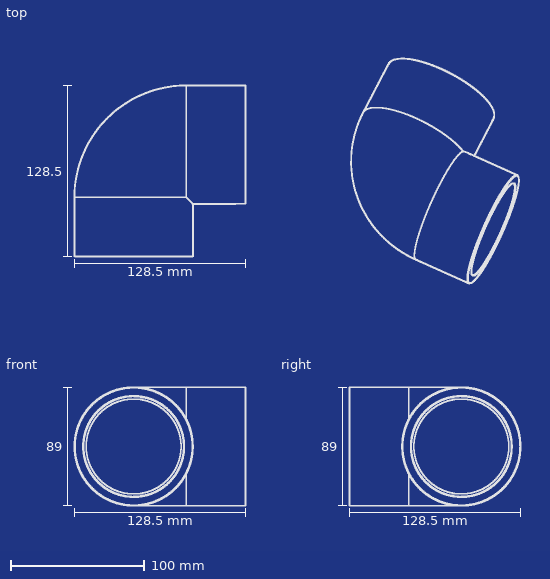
import cadquery as cq
import math

overall_length = 128.5
outer_diameter = 89.0
socket_bore = 75.0
bend_bore = 71.2
bend_radius = 39.6
rim_chamfer = 0.5

outer_radius = outer_diameter / 2
mouth_distance = overall_length - outer_radius
socket_length = mouth_distance - bend_radius
pivot_half_height = math.sqrt(outer_radius**2 - bend_radius**2)


def make_socket():
    """Straight socket along +X with chamfered inner and outer mouth edges."""
    return (
        cq.Workplane("YZ", origin=(bend_radius, 0, 0))
        .circle(outer_radius)
        .circle(socket_bore / 2)
        .extrude(socket_length)
        .faces(">X")
        .chamfer(rim_chamfer)
    )


def make_socket_pair():
    """Two sockets at right angles, joined where their walls cross at the inner corner."""
    side_socket = make_socket()
    front_socket = make_socket().rotate((0, 0, 0), (0, 0, 1), -90)
    return side_socket.union(front_socket)


def sweep_quarter_turn(section):
    """Turn a section lying in the local XY plane by 90 degrees about the pivot (local Y axis)."""
    return section.revolve(90, (0, 0, 0), (0, -1, 0))


def make_bend():
    """Quarter bend between the sockets, hollowed by a round passage."""
    pivot = cq.Plane(origin=(bend_radius, -bend_radius, 0), xDir=(-1, 0, 0), normal=(0, 1, 0))
    outer_section = (
        cq.Workplane(pivot)
        .moveTo(0, -pivot_half_height)
        .threePointArc((bend_radius + outer_radius, 0), (0, pivot_half_height))
        .close()
    )
    passage_section = cq.Workplane(pivot).moveTo(bend_radius, 0).circle(bend_bore / 2)
    return sweep_quarter_turn(outer_section).cut(sweep_quarter_turn(passage_section))


socket_pair = make_socket_pair()
bend = make_bend()

result = cq.Compound.makeCompound([socket_pair.solids().val(), bend.solids().val()])